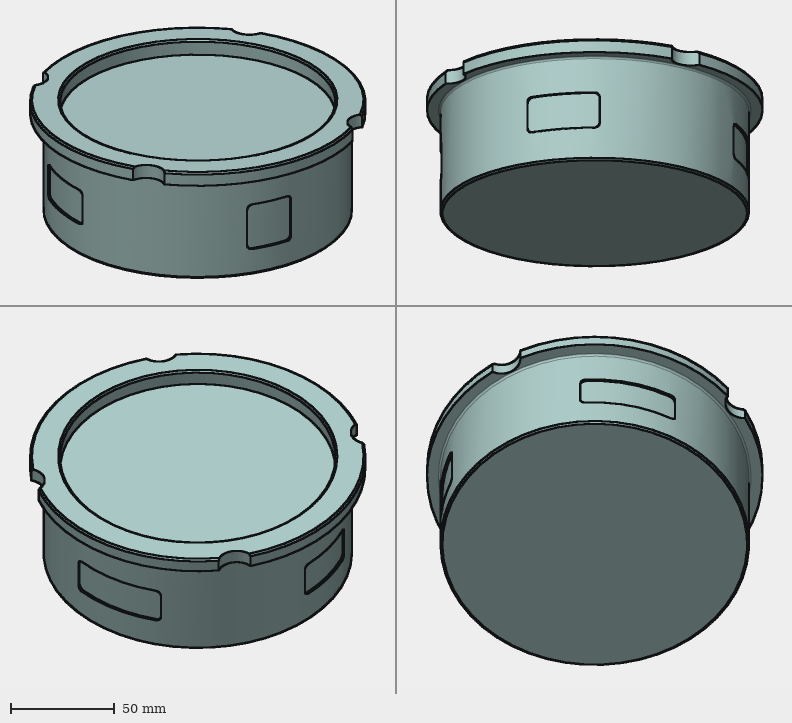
import cadquery as cq
import math

flange_diameter = 162.0
body_diameter = 149.0
total_height = 60.0
flange_thickness = 7.0

edge_chamfer = 1.0
neck_fillet = 1.0

pocket_diameter = 132.8
pocket_depth = 8.0

notch_count = 4
notch_diameter = 18.1
notch_circle_diameter = 170.1

recess_depth = 1.0
recess_corner_radius = 2.6
recess_center_height = 25.6
long_recess_drop = 1.0
label_height = 18.1
short_label_width = 35.6
long_label_width = 47.0
square_label_side = 24.0

body_radius = body_diameter / 2
shoulder_height = total_height - flange_thickness


def make_turned_blank():
    """Revolved body, flange and pocket, with the edges broken and the neck filleted."""
    flange_radius = flange_diameter / 2
    pocket_radius = pocket_diameter / 2
    pocket_floor_height = total_height - pocket_depth
    neck_arc_center = (body_radius + neck_fillet, shoulder_height - neck_fillet)
    half_diagonal = neck_fillet * math.sqrt(0.5)
    neck_arc_middle = (neck_arc_center[0] - half_diagonal, neck_arc_center[1] + half_diagonal)
    return (
        cq.Workplane("XZ")
        .moveTo(0, 0)
        .lineTo(body_radius - edge_chamfer, 0)
        .lineTo(body_radius, edge_chamfer)
        .lineTo(body_radius, shoulder_height - neck_fillet)
        .threePointArc(neck_arc_middle, (body_radius + neck_fillet, shoulder_height))
        .lineTo(flange_radius, shoulder_height)
        .lineTo(flange_radius, total_height - edge_chamfer)
        .lineTo(flange_radius - edge_chamfer, total_height)
        .lineTo(pocket_radius + edge_chamfer, total_height)
        .lineTo(pocket_radius, total_height - edge_chamfer)
        .lineTo(pocket_radius, pocket_floor_height)
        .lineTo(0, pocket_floor_height)
        .close()
        .revolve(360, (0, 0, 0), (0, 1, 0))
    )


def make_notches():
    """Round cutters spaced evenly about the rim, midway between the axes."""
    return (
        cq.Workplane("XY", origin=(0, 0, shoulder_height))
        .polarArray(notch_circle_diameter / 2, 180 / notch_count, 360, notch_count)
        .circle(notch_diameter / 2)
        .extrude(flange_thickness)
    )


def make_recess(width, height, center_height, direction_angle):
    """Cutter for a rounded rectangle sunk evenly into the wall, facing the given angle from +X."""
    block = (
        cq.Workplane("YZ", origin=(0, 0, center_height))
        .rect(width, height)
        .extrude(flange_diameter / 2)
        .edges("|X")
        .fillet(recess_corner_radius)
    )
    core = cq.Workplane("XY").circle(body_radius - recess_depth).extrude(total_height)
    return block.cut(core).rotate((0, 0, 0), (0, 0, 1), direction_angle)


recesses = [
    (square_label_side, square_label_side, recess_center_height, 0),
    (long_label_width, label_height, recess_center_height - long_recess_drop, 90),
    (short_label_width, label_height, recess_center_height, 180),
    (short_label_width, label_height, recess_center_height, 270),
]

result = make_turned_blank().cut(make_notches())
for width, height, center_height, direction_angle in recesses:
    result = result.cut(make_recess(width, height, center_height, direction_angle))